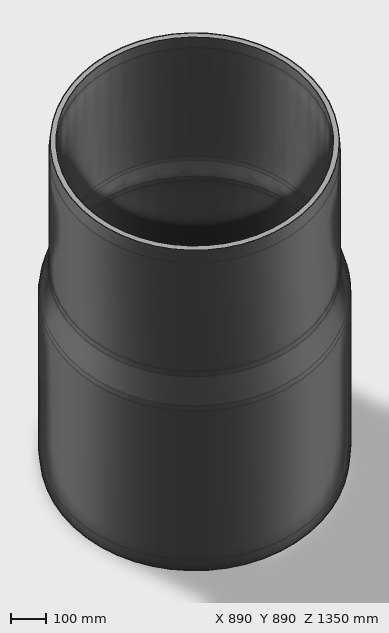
import cadquery as cq

height = 1350.0
lower_outer_radius = 890.0 / 2
lower_inner_radius = 859.0 / 2
upper_outer_radius = 830.0 / 2
upper_inner_radius = 798.0 / 2

taper_length = 50.0
taper_depth = 4.0

cone_bottom = 703.0
cone_top = 821.0
bend_radius = 82.0


def wall_outline(lower_radius, upper_radius):
    """Points of one side of the wall, from the bottom end to the top end."""
    return [
        (lower_radius - taper_depth, 0),
        (lower_radius, taper_length),
        (lower_radius, cone_bottom),
        (upper_radius, cone_top),
        (upper_radius, height - taper_length),
        (upper_radius - taper_depth, height),
    ]


outside = wall_outline(lower_outer_radius, upper_outer_radius)
inside = wall_outline(lower_inner_radius, upper_inner_radius)
reducer = (
    cq.Workplane("XZ")
    .polyline(outside + inside[::-1])
    .close()
    .revolve(360, (0, 0, 0), (0, 1, 0))
)

bend_zone = cq.selectors.BoxSelector(
    (-lower_outer_radius, -lower_outer_radius, cone_bottom - taper_length),
    (lower_outer_radius, lower_outer_radius, cone_top + taper_length),
)
result = reducer.edges("%CIRCLE").edges(bend_zone).fillet(bend_radius)